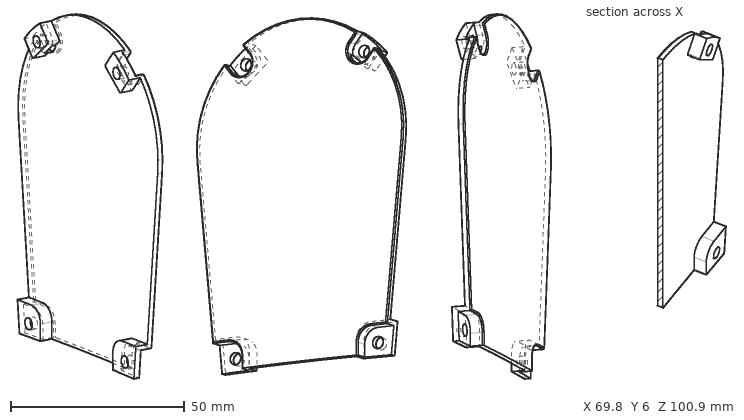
import cadquery as cq
import math

height = 100.9
head_radius = 34.9
base_half_width = 28.6
base_rise = 0.3
plate_thickness = 1.9
total_depth = 6.0
rim_chamfer = 0.4
hole_diameter = 3.5

foot_inner_x = 18.1
foot_height = 10.0
foot_radius = 4.5
foot_hole_x = 24.0
foot_hole_z = 4.0
foot_pocket_radius = 4.4
foot_floor = plate_thickness

head_tab_angle = 50.0
head_tab_width = 10.1
head_tab_inner = 27.9
head_tab_corner = 0.5
head_hole_distance = 31.0
head_pocket_radius = 3.8
head_floor = 2.8
mouth_radius = 0.5

head_center_z = height - head_radius
reach = 2 * head_radius

corner_distance = math.hypot(base_half_width, head_center_z)
tangent_angle = math.acos(head_radius / corner_distance) - math.atan2(head_center_z, base_half_width)
tangent_x = head_radius * math.cos(tangent_angle)
tangent_z = head_center_z + head_radius * math.sin(tangent_angle)


def front_plane(y, x=0, z=0):
    """Workplane at depth y facing -Y, with local x along X and local y along Z."""
    return cq.Workplane("XZ", origin=(x, y, z))


def outline_prism(depth):
    """The plate outline, extruded forward from the back face."""
    return (
        front_plane(0)
        .moveTo(-base_half_width, 0)
        .threePointArc((0, base_rise), (base_half_width, 0))
        .lineTo(tangent_x, tangent_z)
        .threePointArc((0, height), (-tangent_x, tangent_z))
        .close()
        .extrude(depth)
    )


def rectangular_block(plane, x_min, x_max, z_min, z_max, depth):
    return (
        plane.center((x_min + x_max) / 2, (z_min + z_max) / 2)
        .rect(x_max - x_min, z_max - z_min)
        .extrude(depth)
    )


def hole(x, z):
    return front_plane(0, x, z).circle(hole_diameter / 2).extrude(total_depth)


def foot_tab():
    """Left corner block with its inner upper corner rounded."""
    block = rectangular_block(front_plane(-plate_thickness), -reach, -foot_inner_x, -reach, foot_height,
                              total_depth - plate_thickness)
    return block.edges("|Y and >X and >Z").fillet(foot_radius)


def foot_cut():
    """Corner pocket open at the back, side and bottom, plus the screw hole."""
    pocket = rectangular_block(front_plane(0), -reach, foot_pocket_radius - foot_hole_x,
                               -reach, foot_hole_z + foot_pocket_radius, total_depth - foot_floor)
    pocket = pocket.edges("|Y and >X and >Z").fillet(foot_pocket_radius)
    return pocket.union(hole(-foot_hole_x, foot_hole_z))


def to_head_tab(shape):
    """Turn a shape made along +X from the origin into the left head tab position."""
    turned = shape.rotate((0, 0, 0), (0, 1, 0), head_tab_angle - 180)
    return turned.translate((0, 0, head_center_z))


def head_tab():
    block = rectangular_block(front_plane(-plate_thickness), head_tab_inner, reach,
                              -head_tab_width / 2, head_tab_width / 2, total_depth - plate_thickness)
    return to_head_tab(block.edges("|Y and <X").fillet(head_tab_corner))


def head_cut():
    """Round-ended slot open at the back and the rim, plus the screw hole."""
    depth = total_depth - head_floor
    slot = rectangular_block(front_plane(0), head_hole_distance, reach,
                             -head_pocket_radius, head_pocket_radius, depth)
    slot_end = front_plane(0, head_hole_distance).circle(head_pocket_radius).extrude(depth)
    return to_head_tab(slot.union(slot_end).union(hole(head_hole_distance, 0)))


def both_sides(shape):
    return shape.union(shape.mirror("YZ"))


def slot_mouth_selector(side, slot_side):
    """Box around one corner where a head slot meets the rim; each argument is -1 or 1."""
    angle = math.radians(head_tab_angle) + slot_side * math.asin(head_pocket_radius / head_radius)
    x = side * head_radius * math.cos(angle)
    z = head_center_z + head_radius * math.sin(angle)
    margin = mouth_radius / 2
    return cq.selectors.BoxSelector(
        (x - margin, -total_depth, z - margin), (x + margin, 0, z + margin)
    )


tabs = both_sides(foot_tab().union(head_tab())).intersect(outline_prism(total_depth))
cuts = both_sides(foot_cut().union(head_cut()))
result = outline_prism(plate_thickness).union(tabs).cut(cuts)

for side in (-1, 1):
    for slot_side in (-1, 1):
        result = result.edges("|Y").edges(slot_mouth_selector(side, slot_side)).fillet(mouth_radius)

result = result.faces(">Y").edges("not <Z").chamfer(rim_chamfer)